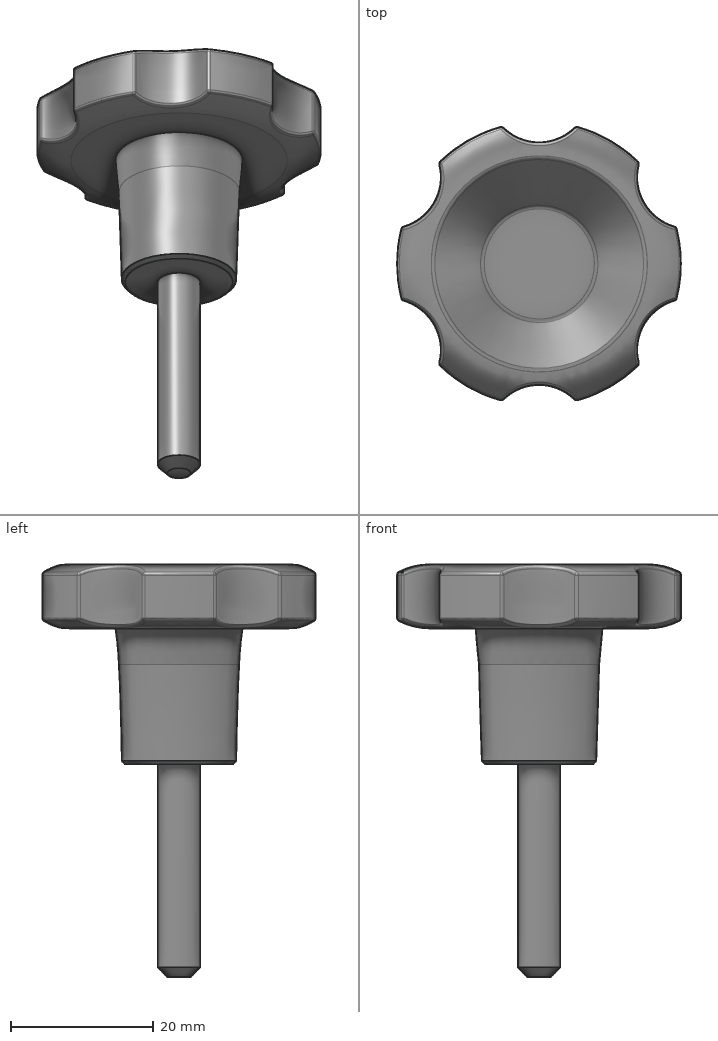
import cadquery as cq
import math

total_height = 58.0
head_thickness = 9.05
head_bottom = total_height - head_thickness

head_radius = 19.95
flat_radius = 15.2
crown_radius = 9.85
scallop_count = 6
scallop_radius = 7.2
scallop_floor_radius = 17.05
edge_fillet = 0.5

dish_rim_radius = 14.9
dish_floor_radius = 8.0
dish_depth = 2.7
dish_fillet = 1.4

hub_bottom = 29.85
hub_bottom_radius = 8.05
hub_break_height = 43.95
hub_break_radius = 8.45
hub_top_radius = 8.95
hub_chamfer = 0.5

pin_radius = 6.0 / 2
pin_tip_radius = 1.6
pin_tip_length = 1.4


def crown_drop(radius):
    """Height lost by the crowned shoulder at the given distance from the axis."""
    return crown_radius - math.sqrt(crown_radius**2 - (radius - flat_radius) ** 2)


def make_head():
    middle_radius = (flat_radius + head_radius) / 2
    middle_drop = crown_drop(middle_radius)
    edge_drop = crown_drop(head_radius)
    head = (
        cq.Workplane("XZ")
        .moveTo(0, head_bottom)
        .lineTo(flat_radius, head_bottom)
        .threePointArc(
            (middle_radius, head_bottom + middle_drop),
            (head_radius, head_bottom + edge_drop),
        )
        .lineTo(head_radius, total_height - edge_drop)
        .threePointArc(
            (middle_radius, total_height - middle_drop),
            (flat_radius, total_height),
        )
        .lineTo(0, total_height)
        .close()
        .revolve(360, (0, 0, 0), (0, 1, 0))
    )
    scallops = (
        cq.Workplane("XY", origin=(0, 0, head_bottom))
        .polarArray(scallop_floor_radius + scallop_radius, 90, 360, scallop_count)
        .circle(scallop_radius)
        .extrude(head_thickness)
    )
    head = head.cut(scallops)
    head = head.edges("|Z").fillet(edge_fillet)
    return head.faces("%CYLINDER").edges("not |Z").fillet(edge_fillet)


def make_dish():
    """Conical recess with a flat floor, as a solid to cut away."""
    return (
        cq.Workplane("XZ")
        .moveTo(0, total_height)
        .lineTo(dish_rim_radius, total_height)
        .lineTo(dish_floor_radius, total_height - dish_depth)
        .lineTo(0, total_height - dish_depth)
        .close()
        .revolve(360, (0, 0, 0), (0, 1, 0))
        .faces("<Z")
        .edges()
        .fillet(dish_fillet)
    )


def make_stem():
    """Tapered hub and pin, turned as one profile."""
    return (
        cq.Workplane("XZ")
        .moveTo(0, 0)
        .lineTo(pin_tip_radius, 0)
        .lineTo(pin_radius, pin_tip_length)
        .lineTo(pin_radius, hub_bottom)
        .lineTo(hub_bottom_radius - hub_chamfer, hub_bottom)
        .lineTo(hub_bottom_radius, hub_bottom + hub_chamfer)
        .lineTo(hub_break_radius, hub_break_height)
        .lineTo(hub_top_radius, head_bottom)
        .lineTo(0, head_bottom)
        .close()
        .revolve(360, (0, 0, 0), (0, 1, 0))
    )


def make_dished_head():
    """Lobed head with the recess cut in and its rim rounded."""
    rim_selector = cq.selectors.RadiusNthSelector(0)
    dished_head = make_head().cut(make_dish())
    return dished_head.faces(">Z").edges(rim_selector).fillet(dish_fillet)


result = make_dished_head().union(make_stem())